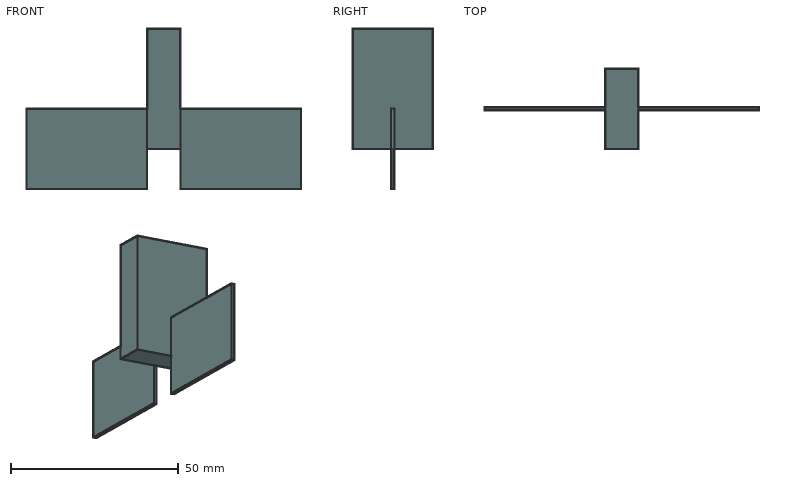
import cadquery as cq

overall_length = 82.0
overall_height = 48.0
block_depth = 24.0
block_width = 10.0
wing_height = 24.0
wing_thickness = 1.0

wing_length = (overall_length - block_width) / 2
block_height = wing_length
block_bottom = overall_height - block_height


def make_block():
    """Upright central block, centred on the Z axis and raised above the wings' lower edge."""
    return (
        cq.Workplane("XY")
        .box(block_width, block_depth, block_height, centered=(True, True, False))
        .translate((0, 0, block_bottom))
    )


def make_wing(side):
    """Thin upright plate touching the block on its -X (side = -1) or +X (side = 1) face."""
    wing_center_x = side * (block_width + wing_length) / 2
    return (
        cq.Workplane("XY")
        .box(wing_length, wing_thickness, wing_height, centered=(True, True, False))
        .translate((wing_center_x, 0, 0))
    )


block = make_block()
wings = [make_wing(side) for side in (-1, 1)]

result = cq.Compound.makeCompound([block.val(), *[wing.val() for wing in wings]])